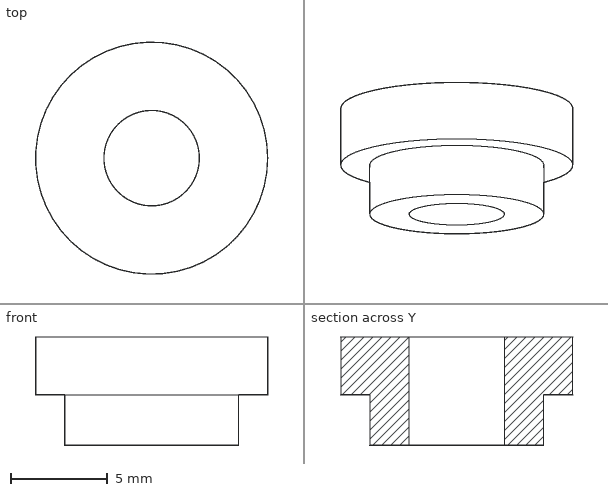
import cadquery as cq

flange_diameter = 12.0
spigot_diameter = 9.0
bore_diameter = 4.92
total_height = 5.6
flange_height = 3.0
spigot_height = total_height - flange_height

spigot = cq.Workplane("XY").circle(spigot_diameter / 2).extrude(spigot_height)

bushing = spigot.faces(">Z").workplane().circle(flange_diameter / 2).extrude(flange_height)

result = bushing.faces(">Z").workplane().circle(bore_diameter / 2).cutThruAll()